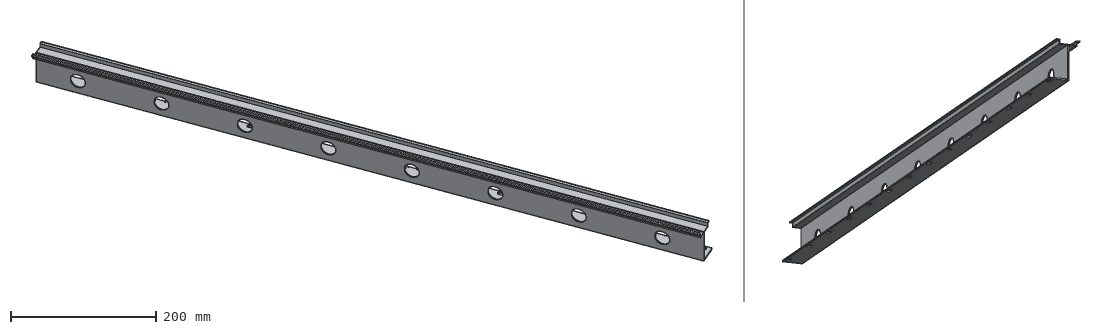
import cadquery as cq

length = 1000.0
overall_width = 45.5
overall_height = 58.0

rail_width = 35.0
rail_height = 7.5
rail_channel_width = 27.0
rail_thickness = 1.25

angle_thickness = 2.0
angle_height = overall_height - rail_height
web_front_y = -angle_thickness / 2
flange_edge_y = overall_width - rail_width / 2

web_hole_diameter = 22.25
web_hole_count = 8
web_hole_pitch = length / web_hole_count
web_hole_height = 21.0

slot_length = 12.2
slot_width = 5.2
slot_count = 14
slot_pitch = 75.0
first_slot_x = 11.75
slot_edge_distance = 4.5
slot_center_y = flange_edge_y - slot_edge_distance


def bar(y_min, y_max, z_min, z_max):
    """Rectangular bar running the full length of the part."""
    block = cq.Workplane("XY").box(length, y_max - y_min, z_max - z_min, centered=False)
    return block.translate((0, y_min, z_min))


def make_angle():
    """L-section with an upright web and a bottom flange towards +Y."""
    web = bar(web_front_y, web_front_y + angle_thickness, 0, angle_height)
    flange = bar(web_front_y, flange_edge_y, 0, angle_thickness)
    return web.union(flange)


def make_rail():
    """Top-hat section: channel floor, two walls and two outward lips."""
    half_rail = rail_width / 2
    half_channel = rail_channel_width / 2
    inner_half = half_channel - rail_thickness
    lip_bottom = overall_height - rail_thickness
    floor_top = angle_height + rail_thickness
    outline = [
        (-half_rail, overall_height),
        (-inner_half, overall_height),
        (-inner_half, floor_top),
        (inner_half, floor_top),
        (inner_half, overall_height),
        (half_rail, overall_height),
        (half_rail, lip_bottom),
        (half_channel, lip_bottom),
        (half_channel, angle_height),
        (-half_channel, angle_height),
        (-half_channel, lip_bottom),
        (-half_rail, lip_bottom),
    ]
    return cq.Workplane("YZ").polyline(outline).close().extrude(length)


def make_web_holes():
    """Row of round cutters along Y, evenly spaced over the length."""
    centers = [((i + 0.5) * web_hole_pitch, web_hole_height) for i in range(web_hole_count)]
    return (
        cq.Workplane("XZ", origin=(0, web_front_y + angle_thickness, 0))
        .pushPoints(centers)
        .circle(web_hole_diameter / 2)
        .extrude(angle_thickness)
    )


def make_flange_slots():
    """Row of slot cutters along Z."""
    centers = [(first_slot_x + i * slot_pitch, slot_center_y) for i in range(slot_count)]
    return cq.Workplane("XY").pushPoints(centers).slot2D(slot_length, slot_width).extrude(angle_thickness)


result = make_angle().union(make_rail()).cut(make_web_holes()).cut(make_flange_slots())